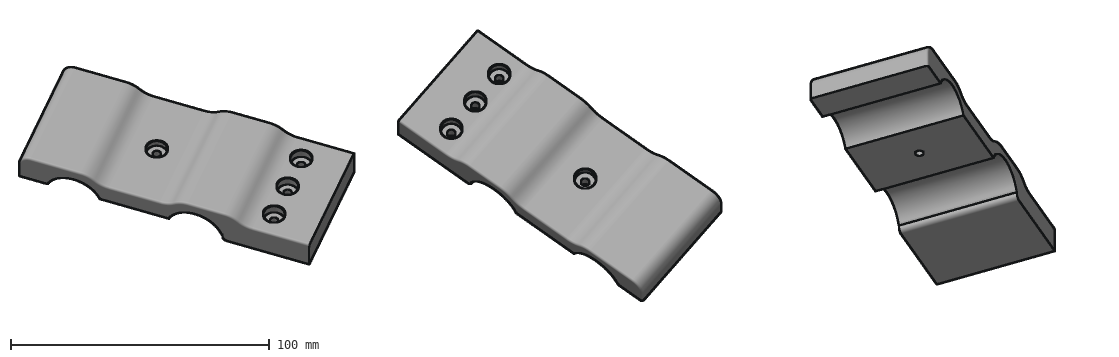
import cadquery as cq
import math

length = 120.0
width = 50.0
height = 15.5

crest_drop = 3.8
low_top = height - crest_drop
wave_half_run = 5.8
wave_centers = (31.5, 64.1, 90.8)
end_radius = 5.0
edge_round = 1.0

raised_bottom = 3.5
groove_top = 10.7
groove_radius = 11.6
first_groove_x = 22.8
groove_pitch = 50.0
groove_center_z = groove_top - groove_radius
groove_half_width = math.sqrt(groove_radius**2 - (raised_bottom - groove_center_z)**2)
block_start_x = 84.1
wall_top = 2.8
block_corner_radius = 2.0

bore_diameter = 8.3
mouth_chamfer = 0.2
valley_bore_depth = 3.0
block_bore_depth = 4.0
hole_diameter = 3.2
through_hole_x = 47.8
blind_hole_x = 101.8
blind_hole_pitch = 15.0
blind_hole_depth = 9.0


def add_slope(outline, center_x, start_z, end_z):
    """Add two equal tangent arcs that lead smoothly from one level to another."""
    half_rise = (end_z - start_z) / 2
    radius = (wave_half_run**2 + half_rise**2) / (2 * abs(half_rise))
    half_angle = math.asin(wave_half_run / radius) / 2
    arc_x = radius * math.sin(half_angle)
    arc_z = math.copysign(radius * (1 - math.cos(half_angle)), half_rise)
    start_x = center_x - wave_half_run
    end_x = center_x + wave_half_run
    middle = (center_x, start_z + half_rise)
    return (
        outline.lineTo(start_x, start_z)
        .threePointArc((start_x + arc_x, start_z + arc_z), middle)
        .threePointArc((end_x - arc_x, end_z - arc_z), (end_x, end_z))
    )


def make_body():
    """Extrude the side profile across the width and round its upper side edges."""
    corner = end_radius * (1 - math.sqrt(0.5))
    block_corner = block_corner_radius * (1 - math.sqrt(0.5))
    second_groove_x = first_groove_x + groove_pitch

    outline = (
        cq.Workplane("XZ", origin=(0, width / 2, 0))
        .moveTo(0, raised_bottom)
        .lineTo(0, height - end_radius)
        .threePointArc((corner, height - corner), (end_radius, height))
    )
    outline = add_slope(outline, wave_centers[0], height, low_top)
    outline = add_slope(outline, wave_centers[1], low_top, height)
    outline = add_slope(outline, wave_centers[2], height, low_top)
    outline = (
        outline.lineTo(length, low_top)
        .lineTo(length, 0)
        .lineTo(block_start_x + block_corner_radius, 0)
        .threePointArc(
            (block_start_x + block_corner, block_corner),
            (block_start_x, block_corner_radius),
        )
        .lineTo(block_start_x, wall_top)
    )
    for groove_x in (second_groove_x, first_groove_x):
        outline = outline.lineTo(groove_x + groove_half_width, raised_bottom).threePointArc(
            (groove_x, groove_top), (groove_x - groove_half_width, raised_bottom)
        )
    body = outline.close().extrude(width)

    first_crest_x = (end_radius + wave_centers[0] - wave_half_run) / 2
    for side_y in (-width / 2, width / 2):
        crest_edge = cq.selectors.NearestToPointSelector((first_crest_x, side_y, height))
        body = body.edges("|X").edges(crest_edge).fillet(edge_round)
    return body


def cut_screw_hole(body, x, y, bore_depth, hole_depth=None):
    """Cut a counterbored hole with a small chamfer around its mouth."""
    plane = cq.Workplane("XY", origin=(x, y, low_top))
    mouth_radius = bore_diameter / 2 + mouth_chamfer
    mouth = cq.Solid.makeCone(
        mouth_radius,
        bore_diameter / 2,
        mouth_chamfer,
        pnt=cq.Vector(x, y, low_top),
        dir=cq.Vector(0, 0, -1),
    )
    drilled = body.copyWorkplane(plane).cboreHole(
        hole_diameter, bore_diameter, bore_depth, depth=hole_depth
    )
    return drilled.cut(cq.Workplane(mouth))


result = cut_screw_hole(make_body(), through_hole_x, 0, valley_bore_depth)
for row_step in (-1, 0, 1):
    hole_y = row_step * blind_hole_pitch
    result = cut_screw_hole(result, blind_hole_x, hole_y, block_bore_depth, blind_hole_depth)